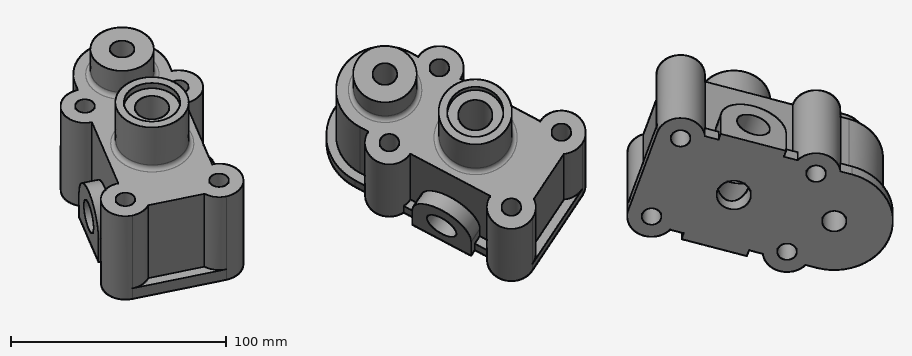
import cadquery as cq

flange_thickness = 6.80
body_height = 53.30
small_boss_top = 69.17
large_boss_top = 79.38

body_half_width = 22.68
flange_overhang = 4.536
flange_half_width = body_half_width + flange_overhang

ear_radius = 11.34
ear_hole_diameter = 9.07
first_ear_x = 15.88
ear_pitch_x = 65.77
ear_xs = (first_ear_x, first_ear_x + ear_pitch_x)
ear_ys = (-body_half_width, body_half_width)
ear_centres = [(x, y) for x in ear_xs for y in ear_ys]

flange_end_x = ear_xs[-1] + ear_radius
body_end_x = flange_end_x - flange_overhang

small_boss_x = 0.0
small_boss_diameter = 29.48
small_bore_diameter = 11.34
large_boss_x = 48.76
large_boss_diameter = 34.02
large_bore_diameter = 15.88
counterbore_diameter = 26.08
counterbore_depth = 3.40
boss_root_fillet = 2.27

pad_width = 31.75
pad_radius = pad_width / 2
pad_face_y = 30.62
cross_bore_z = 14.74
cross_bore_diameter = 15.88


def d_shaped_plate(half_width, end_x, height):
    """Plate with a half-round end about the small boss axis and a flat +X end."""
    return (
        cq.Workplane("XY")
        .moveTo(small_boss_x, half_width)
        .threePointArc((small_boss_x - half_width, 0), (small_boss_x, -half_width))
        .lineTo(end_x, -half_width)
        .lineTo(end_x, half_width)
        .close()
        .extrude(height)
    )


def flange():
    """Base flange, narrowed beyond the last ear axis so its end face runs into the ears."""
    plate = d_shaped_plate(flange_half_width, ear_xs[-1], flange_thickness)
    end_strip = d_shaped_plate(body_half_width, flange_end_x, flange_thickness)
    return plate.union(end_strip)


def side_pads():
    """Round-topped pads on both long sides, made as one block across the body."""
    return (
        cq.Workplane("XZ", origin=(large_boss_x, pad_face_y, 0))
        .moveTo(-pad_radius, 0)
        .lineTo(pad_radius, 0)
        .lineTo(pad_radius, cross_bore_z)
        .threePointArc((0, cross_bore_z + pad_radius), (-pad_radius, cross_bore_z))
        .close()
        .extrude(2 * pad_face_y)
    )


def ears():
    """Full-height round columns for the mounting holes."""
    return cq.Workplane("XY").pushPoints(ear_centres).circle(ear_radius).extrude(body_height)


def boss(x, diameter, top):
    """Round boss on the top face, with a concave fillet where it meets the body."""
    radius = diameter / 2
    root_radius = radius + boss_root_fillet
    fillet_top = body_height + boss_root_fillet
    fillet_mid_offset = boss_root_fillet * (1 - 0.5**0.5)
    profile = (
        cq.Workplane("XZ", origin=(x, 0, 0))
        .moveTo(0, flange_thickness)
        .lineTo(root_radius, flange_thickness)
        .lineTo(root_radius, body_height)
        .threePointArc(
            (radius + fillet_mid_offset, body_height + fillet_mid_offset),
            (radius, fillet_top),
        )
        .lineTo(radius, top)
        .lineTo(0, top)
        .close()
    )
    return profile.revolve(360, (0, 0, 0), (0, 1, 0))


def vertical_bore(points, diameter, bottom, top):
    """Round cutters along Z between two heights."""
    return (
        cq.Workplane("XY", origin=(0, 0, bottom))
        .pushPoints(points)
        .circle(diameter / 2)
        .extrude(top - bottom)
    )


def cross_bore():
    """Cutter for the bore that runs along Y through both side pads."""
    return (
        cq.Workplane("XZ", origin=(large_boss_x, pad_face_y, cross_bore_z))
        .circle(cross_bore_diameter / 2)
        .extrude(2 * pad_face_y)
    )


housing = (
    d_shaped_plate(body_half_width, body_end_x, body_height)
    .union(flange())
    .union(side_pads())
    .union(ears())
    .union(boss(small_boss_x, small_boss_diameter, small_boss_top))
    .union(boss(large_boss_x, large_boss_diameter, large_boss_top))
)

small_boss_axis = [(small_boss_x, 0)]
large_boss_axis = [(large_boss_x, 0)]
counterbore_floor = large_boss_top - counterbore_depth

result = (
    housing.cut(vertical_bore(ear_centres, ear_hole_diameter, 0, body_height))
    .cut(vertical_bore(small_boss_axis, small_bore_diameter, 0, small_boss_top))
    .cut(vertical_bore(large_boss_axis, large_bore_diameter, 0, large_boss_top))
    .cut(vertical_bore(large_boss_axis, counterbore_diameter, counterbore_floor, large_boss_top))
    .cut(cross_bore())
)